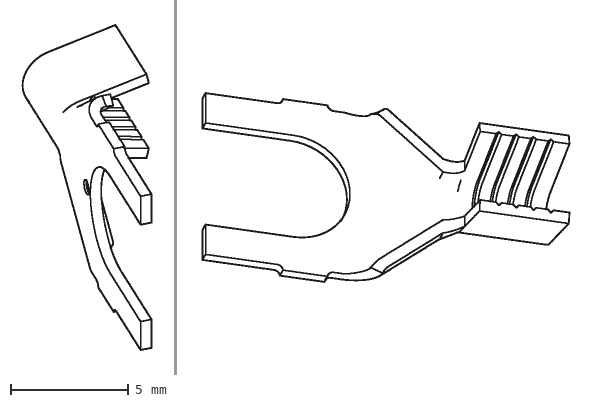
import cadquery as cq
import math

length = 15.06
sheet = 0.5

barrel_length = 3.96
barrel_outer_radius = 1.5
barrel_inner_radius = barrel_outer_radius - sheet
barrel_height = 4.32
leg_lean = math.radians(13)

serration_count = 4
serration_pitch = 0.77
serration_width = 0.24
serration_depth = 0.12

neck_end = 4.79
neck_arc_radius = 1.0
neck_strip_half_width = 0.8

flange_slant = math.radians(40)
flange_height = 1.42
flange_corner_radius = 0.21
bend_outer_radius = 1.0
bend_inner_radius = bend_outer_radius - sheet
bend_start_half_width = 0.53

inner_end_setback = 0.9
wall_inner_taper = 0.3

plate_half_width = 3.98
slot_radius = 2.5
slot_bottom = 8.66
ear_half_width = 4.22
ear_start = 9.65
ear_end = 11.63
ear_root_radius = 0.27
dimple_x = 8.16
dimple_diameter = 0.65
dimple_depth = 0.1

bend_end = neck_end + (plate_half_width - bend_start_half_width) / math.tan(flange_slant)


def both_sides(solid):
    """The solid joined with its mirror image across Z = 0."""
    return solid.union(solid.mirror("XY"))


def across(x):
    """Workplane across X whose local axes are Z and Y; its normal points to -X."""
    return cq.Workplane(cq.Plane(origin=(x, 0, 0), xDir=(0, 0, 1), normal=(-1, 0, 0)))


def barrel_point(radius, angle, leg=0.0):
    """(z, y) on a U of the given radius: angle from its bottom, then a length up the leg."""
    return (
        radius * math.sin(angle) + leg * math.cos(angle),
        barrel_outer_radius - radius * math.cos(angle) + leg * math.sin(angle),
    )


leg_angle = math.pi / 2 - leg_lean
leg_root_height = barrel_point(barrel_inner_radius, leg_angle)[1]
leg_length = (barrel_height - leg_root_height) / math.cos(leg_lean)


def u_outline():
    """Closed outline of the barrel on the plane X = 0."""

    def mirrored(point):
        return (-point[0], point[1])

    outer_tip = barrel_point(barrel_outer_radius, leg_angle, leg_length)
    outer_root = barrel_point(barrel_outer_radius, leg_angle)
    inner_tip = barrel_point(barrel_inner_radius, leg_angle, leg_length)
    inner_root = barrel_point(barrel_inner_radius, leg_angle)
    return (
        across(0)
        .moveTo(*mirrored(outer_tip))
        .lineTo(*mirrored(outer_root))
        .threePointArc(barrel_point(barrel_outer_radius, 0), outer_root)
        .lineTo(*outer_tip)
        .lineTo(*inner_tip)
        .lineTo(*inner_root)
        .threePointArc(barrel_point(barrel_inner_radius, 0), mirrored(inner_root))
        .lineTo(*mirrored(inner_tip))
        .close()
    )


def serration(x):
    """V-groove cutter that follows the +Z half of the inside of the U at the given place along X."""
    half_width = serration_width / 2
    v_points = [(-half_width, 0), (half_width, 0), (0, serration_depth)]

    root_z, root_y = barrel_point(barrel_inner_radius, leg_angle)
    leg_direction = (0, math.sin(leg_angle), math.cos(leg_angle))
    leg_plane = cq.Plane(origin=(x, root_y, root_z), xDir=(-1, 0, 0), normal=leg_direction)
    leg_groove = cq.Workplane(leg_plane).polyline(v_points).close().extrude(leg_length + sheet)

    bend_groove = (
        cq.Workplane(cq.Plane(origin=(x, barrel_outer_radius, 0), xDir=(-1, 0, 0), normal=(0, 0, 1)))
        .polyline([(along, barrel_inner_radius + deep) for along, deep in v_points])
        .close()
        .revolve(math.degrees(leg_angle), (0, 0), (1, 0))
    )
    return leg_groove.union(bend_groove)


def make_barrel():
    barrel = u_outline().extrude(-barrel_length)
    first = (barrel_length - (serration_count - 1) * serration_pitch) / 2
    for index in range(serration_count):
        barrel = barrel.cut(both_sides(serration(first + index * serration_pitch)))
    return barrel


def turned_up_arc(centre, sideways, height):
    """Quarter ellipse that starts below the centre by the height and turns to centre + sideways."""
    plane = cq.Plane(origin=centre, xDir=sideways, normal=sideways.cross(cq.Vector(0, 1, 0)))
    return cq.Workplane(plane).ellipseArc(sideways.Length, height, -90, 0, startAtCurrent=False).val()


def sheet_piece(outer_start, outer_end, inner_start, inner_end):
    """Solid strip of sheet ruled between the edges of its outer and inner faces at both ends."""

    def ends_line(first, second, place):
        return cq.Edge.makeLine(first.positionAt(place), second.positionAt(place))

    ruled = cq.Face.makeRuledSurface
    faces = [
        ruled(outer_start, outer_end),
        ruled(inner_start, inner_end),
        ruled(outer_start, inner_start),
        ruled(outer_end, inner_end),
    ]
    for place in (0, 1):
        faces.append(
            ruled(ends_line(outer_start, outer_end, place), ends_line(inner_start, inner_end, place))
        )
    return cq.Workplane(cq.Solid.makeSolid(cq.Shell.makeShell(faces)).fix())


def barrel_edges(radius, leg_top):
    """Bottom strip, +Z bend and +Z leg edges of the U at the barrel's end, up to a height."""

    def point(angle, leg=0.0):
        z, y = barrel_point(radius, angle, leg)
        return cq.Vector(barrel_length, y, z)

    strip_angle = math.asin(neck_strip_half_width / barrel_outer_radius)
    leg_rise = (leg_top - point(leg_angle).y) / math.sin(leg_angle)
    return (
        cq.Edge.makeThreePointArc(point(-strip_angle), point(0), point(strip_angle)),
        cq.Edge.makeThreePointArc(
            point(strip_angle), point((strip_angle + leg_angle) / 2), point(leg_angle)
        ),
        cq.Edge.makeLine(point(leg_angle), point(leg_angle, leg_rise)),
    )


def flange_edges(radius):
    """Bottom strip, +Z bend and +Z leg edges of the folded plate at the neck's end."""
    bottom = bend_outer_radius - radius
    bend_centre = cq.Vector(neck_end, bend_outer_radius, bend_start_half_width)
    sideways = cq.Vector(0, 0, radius / math.cos(flange_slant))
    wall_foot = bend_centre + sideways
    return (
        cq.Edge.makeLine(
            cq.Vector(neck_end, bottom, -bend_start_half_width),
            cq.Vector(neck_end, bottom, bend_start_half_width),
        ),
        turned_up_arc(bend_centre, sideways, radius),
        cq.Edge.makeLine(wall_foot, cq.Vector(neck_end, flange_height, wall_foot.z)),
    )


def make_neck():
    neck_length = neck_end - barrel_length
    arc_centre_height = flange_height + neck_arc_radius
    start_height = arc_centre_height - math.sqrt(neck_arc_radius**2 - neck_length**2)

    strip, bend, leg = (
        sheet_piece(*edges)
        for edges in zip(
            barrel_edges(barrel_outer_radius, start_height),
            flange_edges(bend_outer_radius),
            barrel_edges(barrel_inner_radius, start_height),
            flange_edges(bend_inner_radius),
        )
    )

    dip = (
        cq.Workplane("XY")
        .center(neck_end, arc_centre_height)
        .circle(neck_arc_radius)
        .extrude(plate_half_width)
    )
    return strip.union(both_sides(bend.union(leg).cut(dip)))


def make_flange():
    """Bend and flange wall on the +Z shoulder, with a twisted face at the far end."""
    along = cq.Vector(math.cos(flange_slant), 0, math.sin(flange_slant))
    outward = cq.Vector(-math.sin(flange_slant), 0, math.cos(flange_slant))
    run = (bend_end - neck_end) / math.cos(flange_slant) + bend_outer_radius * math.tan(flange_slant)
    end_centre = cq.Vector(bend_end, bend_outer_radius, plate_half_width)
    start_centre = end_centre - along * run
    wall_rise = cq.Vector(0, flange_height - bend_outer_radius, 0)

    outer_end_setback = bend_outer_radius / math.tan(flange_slant)

    def between(inner_value, outer_value, radius):
        """Value at a radius, from its values at the inner and outer faces of the sheet."""
        share = (radius - bend_inner_radius) / sheet
        return inner_value + (outer_value - inner_value) * share

    def edges(radius):
        """Start and end edges of the bend, then of the wall, at a radius through the sheet."""
        setback = along * -between(inner_end_setback, outer_end_setback, radius)
        taper = along * -between(wall_inner_taper, 0, radius)
        side = outward * radius
        start_foot = start_centre + side
        end_foot = end_centre + setback + side
        return (
            turned_up_arc(start_centre, side, radius),
            turned_up_arc(end_centre, setback + side, radius),
            cq.Edge.makeLine(start_foot, start_foot + wall_rise),
            cq.Edge.makeLine(end_foot, end_foot + taper + wall_rise),
        )

    margin = sheet / 4
    bend_start, bend_stop, wall_start, wall_stop = zip(
        edges(bend_outer_radius + margin), edges(bend_inner_radius - margin)
    )
    end_limit = sheet_piece(bend_start[0], bend_stop[0], bend_start[1], bend_stop[1]).union(
        sheet_piece(wall_start[0], wall_stop[0], wall_start[1], wall_stop[1])
    )

    wall_top = flange_height - bend_outer_radius
    section_plane = cq.Plane(origin=start_centre, xDir=outward, normal=along * -1)
    folded_sheet = (
        cq.Workplane(section_plane)
        .moveTo(0, -bend_outer_radius)
        .radiusArc((bend_outer_radius, 0), -bend_outer_radius)
        .lineTo(bend_outer_radius, wall_top)
        .lineTo(bend_inner_radius, wall_top)
        .lineTo(bend_inner_radius, 0)
        .radiusArc((0, -bend_inner_radius), bend_inner_radius)
        .close()
        .extrude(-run)
    )
    flange = folded_sheet.intersect(end_limit)
    flange = flange.faces(">Y").edges(">X").fillet(flange_corner_radius)

    beyond_neck = across(neck_end).rect(length, length).extrude(-length)
    return flange.intersect(beyond_neck)


def make_plate():
    slot_centre = slot_bottom + slot_radius
    diagonal = math.sqrt(0.5) * slot_radius
    above_arc_centre = ear_root_radius - (ear_half_width - plate_half_width)
    root_reach = math.sqrt(ear_root_radius**2 - above_arc_centre**2)
    half = (
        cq.Workplane("XZ")
        .moveTo(neck_end, 0)
        .lineTo(neck_end, bend_start_half_width)
        .lineTo(bend_end, plate_half_width)
        .lineTo(ear_start - root_reach, plate_half_width)
        .radiusArc((ear_start, ear_half_width), -ear_root_radius)
        .lineTo(ear_end, ear_half_width)
        .radiusArc((ear_end + root_reach, plate_half_width), -ear_root_radius)
        .lineTo(length, plate_half_width)
        .lineTo(length, slot_radius)
        .lineTo(slot_centre, slot_radius)
        .threePointArc((slot_centre - diagonal, diagonal), (slot_bottom, 0))
        .close()
        .extrude(-sheet)
    )
    dimple = (
        cq.Workplane("XZ").center(dimple_x, 0).circle(dimple_diameter / 2).extrude(-dimple_depth)
    )
    return both_sides(half).cut(dimple)


result = make_plate().union(both_sides(make_flange())).union(make_neck()).union(make_barrel())